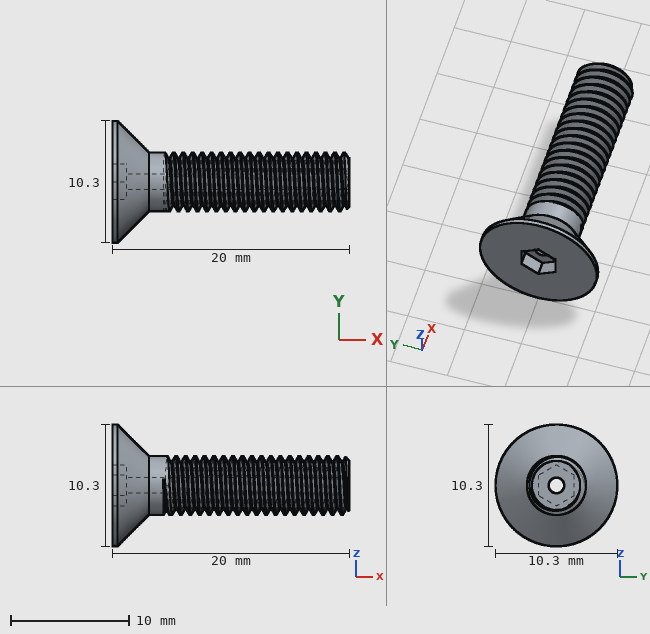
import cadquery as cq
import math


length = 20.0
thread_diameter = 5.0
pitch = 0.8
head_diameter = 10.31
rim_thickness = 0.43
socket_across_flats = 3.0
socket_depth = 1.2
bore_diameter = 1.3
tip_chamfer = 0.42

head_radius = head_diameter / 2
shank_radius = thread_diameter / 2
head_height = rim_thickness + head_radius - shank_radius

thread_depth_per_pitch = 0.6134
thread_depth = thread_depth_per_pitch * pitch
crest_flat = pitch / 8
flank_half_angle = 30
flank_slope = math.tan(math.radians(flank_half_angle))
root_half_width = (pitch - crest_flat) / 2 - thread_depth * flank_slope
outside_clearance = 0.05
cutter_height = thread_depth + outside_clearance
outer_half_width = root_half_width + cutter_height * flank_slope

groove_reference_x = 4.58
lead_in_start_angle = -102.0
full_depth_angle = 45.0
lead_in_segments = 12
turns_per_section = 4
section_count = 5


def groove_x(angle):
    """Axial position of the groove centre at an angle round the shank."""
    return groove_reference_x + pitch * angle / 360


groove_corners = [
    (0, -root_half_width),
    (0, root_half_width),
    (cutter_height, outer_half_width),
    (cutter_height, -outer_half_width),
]


def lead_in_edge(corner):
    """Path of one corner while the groove sinks evenly from the surface to full depth."""
    height, offset = corner
    points = []
    for step in range(lead_in_segments + 1):
        progress = step / lead_in_segments
        angle = lead_in_start_angle + progress * (full_depth_angle - lead_in_start_angle)
        radius = shank_radius - progress * thread_depth + height
        turn = math.radians(angle)
        along_axis = groove_x(angle) + offset
        points.append(cq.Vector(radius * math.cos(turn), radius * math.sin(turn), along_axis))
    return cq.Edge.makeSpline(points)


def full_depth_edge(corner, section):
    """Helix of one corner along one section of the full-depth thread."""
    height, offset = corner
    section_length = turns_per_section * pitch
    start_x = groove_x(full_depth_angle) + section * section_length
    helix = cq.Wire.makeHelix(pitch, section_length, shank_radius - thread_depth + height)
    helix = helix.rotate(cq.Vector(0, 0, 0), cq.Vector(0, 0, 1), full_depth_angle)
    return helix.translate(cq.Vector(0, 0, start_x + offset)).Edges()[0]


def groove_walls(edges):
    """The four faces joining neighbouring corner paths of one section."""
    next_edges = edges[1:] + edges[:1]
    return [cq.Face.makeRuledSurface(edge, next_edge) for edge, next_edge in zip(edges, next_edges)]


def end_cap(points):
    """Flat face closing the groove across its four corners."""
    return cq.Face.makeFromWires(cq.Wire.makePolygon(points, close=True))


def make_groove():
    """Thread groove as one solid: the lead-in, then the full-depth sections."""
    sections = [[lead_in_edge(corner) for corner in groove_corners]]
    for section in range(section_count):
        sections.append([full_depth_edge(corner, section) for corner in groove_corners])
    faces = [
        end_cap([edge.startPoint() for edge in sections[0]]),
        end_cap([edge.endPoint() for edge in sections[-1]]),
    ]
    for edges in sections:
        faces.extend(groove_walls(edges))
    groove = cq.Solid.makeSolid(cq.Shell.makeShell(faces))
    return cq.Workplane(groove.rotate(cq.Vector(0, 0, 0), cq.Vector(0, 1, 0), 90))


def make_blank():
    """Head, plain shank and chamfered tip as one turned body."""
    return (
        cq.Workplane("XY")
        .moveTo(0, 0)
        .lineTo(0, -head_radius)
        .lineTo(rim_thickness, -head_radius)
        .lineTo(head_height, -shank_radius)
        .lineTo(length - tip_chamfer, -shank_radius)
        .lineTo(length, tip_chamfer - shank_radius)
        .lineTo(length, 0)
        .close()
        .revolve(360, (0, 0, 0), (1, 0, 0))
    )


def make_socket():
    """Hexagonal drive recess with corners towards +Z and -Z."""
    sides = 6
    across_corners = socket_across_flats / math.cos(math.pi / sides)
    hexagon = cq.Workplane("YZ").polygon(sides, across_corners).extrude(socket_depth)
    return hexagon.rotate((0, 0, 0), (1, 0, 0), 90)


def make_bore():
    """Round hole through the full length of the screw."""
    return cq.Workplane("YZ").circle(bore_diameter / 2).extrude(length)


result = make_blank().cut(make_socket()).cut(make_bore()).cut(make_groove())